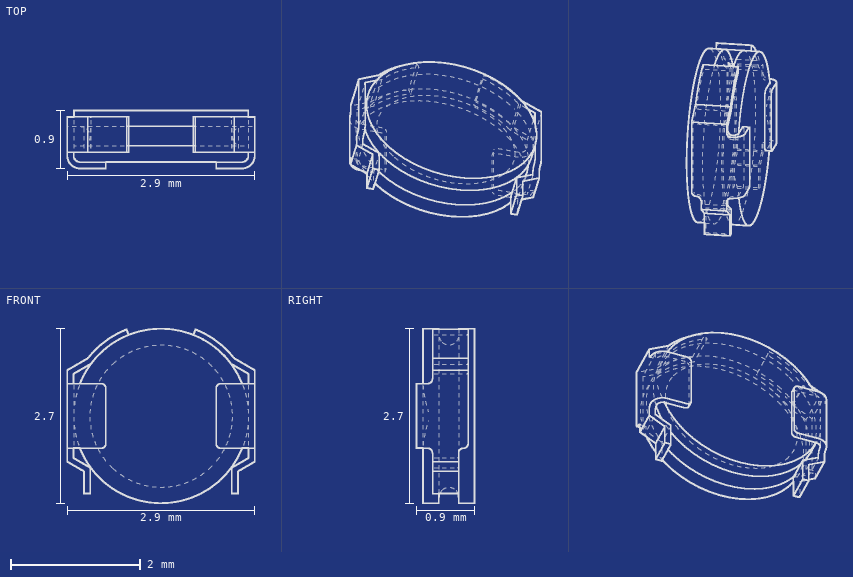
import cadquery as cq
import math


overall_width = 2.9
core_diameter = 2.7
core_length = 0.8
flange_width = 0.25
groove_wall_depth = 0.1

core_radius = core_diameter / 2
core_back = core_length / 2
core_front = -core_length / 2
groove_half_width = core_length / 2 - flange_width
groove_shoulder_radius = core_radius - groove_wall_depth

plate_outer_x = overall_width / 2
plate_inner_x = core_radius
sheet = plate_outer_x - plate_inner_x
slant_angle = math.radians(30)
slant_slope = math.tan(slant_angle)
plate_inner_half_height = 0.65
miter_offset = sheet * math.tan((math.pi / 2 - slant_angle) / 2)
plate_outer_half_height = plate_inner_half_height + miter_offset

arm_end_x = 0.5
arm_outer_radius = 1.44

leg_inner_x = 1.09
leg_outer_x = leg_inner_x + sheet
leg_bottom_z = -1.2

arm_width = 0.55
arm_back = core_back - sheet
arm_front = arm_back - arm_width
leg_back = groove_half_width

tab_half_height = 0.5
tab_tip_x = 0.85
tab_front = core_front - sheet
bend_inner_radius = sheet
bend_outer_radius = bend_inner_radius + sheet
corner_radius = (arm_back - leg_back) / 2


def polar(radius, angle):
    """Point (x, z) at an angle above X on a core-centred circle."""
    return radius * math.cos(angle), radius * math.sin(angle)


def slant_circle_crossing(half_height, wall_x, radius):
    """Point (x, z) where the upper slanted line from (wall_x, half_height) meets a core-centred circle."""
    distance = half_height * math.cos(slant_angle) + wall_x * math.sin(slant_angle)
    angle = math.pi / 2 - slant_angle - math.acos(distance / radius)
    return polar(radius, angle)


def make_strip():
    """Bent strip in the XZ plane: curved arm, slanted stretches, upright plate and leg."""
    inner_start = slant_circle_crossing(plate_inner_half_height, plate_inner_x, core_radius)
    outer_start = slant_circle_crossing(plate_outer_half_height, plate_outer_x, arm_outer_radius)
    tip_angle = math.acos(arm_end_x / core_radius)
    inner_middle_angle = (math.atan2(inner_start[1], inner_start[0]) + tip_angle) / 2
    outer_middle_angle = (math.atan2(outer_start[1], outer_start[0]) + tip_angle) / 2
    leg_inner_top = -plate_inner_half_height - (plate_inner_x - leg_inner_x) * slant_slope
    leg_outer_top = -plate_outer_half_height - (plate_outer_x - leg_outer_x) * slant_slope
    return (
        cq.Workplane("XZ", origin=(0, arm_back, 0))
        .moveTo(*inner_start)
        .threePointArc(polar(core_radius, inner_middle_angle), polar(core_radius, tip_angle))
        .lineTo(*polar(arm_outer_radius, tip_angle))
        .threePointArc(polar(arm_outer_radius, outer_middle_angle), outer_start)
        .lineTo(plate_outer_x, plate_outer_half_height)
        .lineTo(plate_outer_x, -plate_outer_half_height)
        .lineTo(leg_outer_x, leg_outer_top)
        .lineTo(leg_outer_x, leg_bottom_z)
        .lineTo(leg_inner_x, leg_bottom_z)
        .lineTo(leg_inner_x, leg_inner_top)
        .lineTo(plate_inner_x, -plate_inner_half_height)
        .lineTo(plate_inner_x, plate_inner_half_height)
        .close()
        .extrude(arm_width)
    )


def make_folded_tab():
    """Solder tab with its round bend, tall enough to hold the rounds that blend it into the plate."""
    blank_half_height = tab_half_height + corner_radius
    return (
        cq.Workplane("XY", origin=(0, 0, -blank_half_height))
        .moveTo(plate_outer_x, arm_front)
        .lineTo(plate_outer_x, tab_front + bend_outer_radius)
        .tangentArcPoint((plate_outer_x - bend_outer_radius, tab_front), relative=False)
        .lineTo(tab_tip_x, tab_front)
        .lineTo(tab_tip_x, core_front)
        .lineTo(plate_inner_x - bend_inner_radius, core_front)
        .tangentArcPoint((plate_inner_x, core_front + bend_inner_radius), relative=False)
        .lineTo(plate_inner_x, arm_front)
        .close()
        .extrude(2 * blank_half_height)
    )


def make_side_outline():
    """Outline of the terminal in the YZ plane, extruded over its whole width along X."""
    front_round_y = arm_front - corner_radius
    return (
        cq.Workplane("YZ")
        .moveTo(arm_back, core_radius)
        .lineTo(arm_front, core_radius)
        .lineTo(arm_front, tab_half_height + corner_radius)
        .tangentArcPoint((front_round_y, tab_half_height), relative=False)
        .lineTo(tab_front, tab_half_height)
        .lineTo(tab_front, -tab_half_height)
        .lineTo(front_round_y, -tab_half_height)
        .tangentArcPoint((arm_front, -tab_half_height - corner_radius), relative=False)
        .lineTo(arm_front, leg_bottom_z)
        .lineTo(leg_back, leg_bottom_z)
        .lineTo(leg_back, -tab_half_height - corner_radius)
        .tangentArcPoint((leg_back + corner_radius, -tab_half_height), relative=False)
        .tangentArcPoint((arm_back, -tab_half_height + corner_radius), relative=False)
        .close()
        .extrude(plate_outer_x)
    )


def make_terminal(side):
    """One terminal; side is +1 for the +X terminal and -1 for its mirror image."""
    terminal = make_strip().union(make_folded_tab()).intersect(make_side_outline())
    tab_tip = cq.selectors.BoxSelector(
        (tab_tip_x - sheet, tab_front - sheet, -core_radius),
        (tab_tip_x + sheet, core_front + sheet, core_radius),
    )
    terminal = terminal.edges("|Y").edges(tab_tip).fillet(corner_radius)
    if side < 0:
        terminal = terminal.mirror("YZ")
    return terminal


def make_bend_relief():
    """Sharp outer corner left between the core's front rim and the inside of the tab bend."""
    bend_axis_x = plate_inner_x - bend_inner_radius
    bend_axis_y = core_front + bend_inner_radius
    base = cq.Workplane("XY", origin=(0, 0, -tab_half_height))
    corner = (
        base.moveTo(bend_axis_x, core_front)
        .lineTo(plate_inner_x, core_front)
        .lineTo(plate_inner_x, bend_axis_y)
        .lineTo(bend_axis_x, bend_axis_y)
        .close()
        .extrude(2 * tab_half_height)
    )
    inside_of_bend = (
        base.center(bend_axis_x, bend_axis_y)
        .circle(bend_inner_radius)
        .extrude(2 * tab_half_height)
    )
    return corner.cut(inside_of_bend)


def make_core():
    """Drum with a round-bottomed winding groove, its front rim relieved for the tab bends."""
    core = (
        cq.Workplane("XY")
        .moveTo(0, core_front)
        .lineTo(core_radius, core_front)
        .lineTo(core_radius, -groove_half_width)
        .lineTo(groove_shoulder_radius, -groove_half_width)
        .threePointArc(
            (groove_shoulder_radius - groove_half_width, 0),
            (groove_shoulder_radius, groove_half_width),
        )
        .lineTo(core_radius, groove_half_width)
        .lineTo(core_radius, core_back)
        .lineTo(0, core_back)
        .close()
        .revolve(360, (0, 0, 0), (0, 1, 0))
    )
    relief = make_bend_relief()
    return core.cut(relief).cut(relief.mirror("YZ"))


core = make_core()
terminals = [make_terminal(side) for side in (1, -1)]

result = cq.Compound.makeCompound([core.solids().val(), *[terminal.solids().val() for terminal in terminals]])